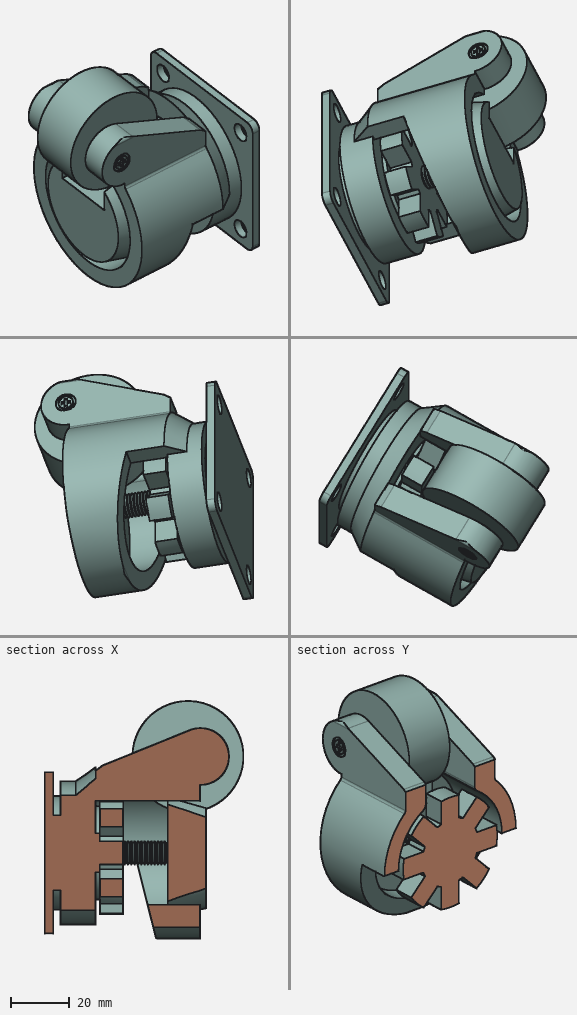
import cadquery as cq
import math


plate_side = 55.2
plate_thickness = 3.0
plate_corner_radius = 3.0
bolt_hole_dia = 6.5
bolt_hole_offset = 21.0

neck_dia = 39.0
neck_end = 5.45
swivel_dia = 49.0
swivel_end = 17.5
skirt_start = 10.65
boss_dia = 32.0
boss_end = 18.9

nut_end = 26.8
nut_dia = 42.0
nut_root_dia = 25.2
nut_teeth = 8
nut_tooth_width = 8.05

thread_major_dia = 8.05
thread_minor_dia = 6.5
thread_pitch = 1.1

housing_dia = 58.7
housing_bore_dia = 45.8
housing_front = 53.15
heel_top_depth = 30.7
heel_bottom_depth = 38.1
heel_radius = 0.65
fork_width = 39.9
fork_gap = 21.7
fork_tip_radius = 9.75
fork_tip_depth = 53.3
fork_knee_depth = 19.9
fork_knee_height = 29.9
fork_back_height = 28.1
fork_top_radius = 1.0
fork_root_radius = 1.5
gap_corner_radius = 2.3

wheel_dia = 38.0
wheel_width = 18.0
wheel_depth = 49.0
wheel_height = 32.9
pin_depth = 54.4
pin_dia = 5.0
pin_recess_dia = 7.0
pin_recess_depth = 0.5
cross_length = 3.2
cross_width = 1.0
cross_depth = 0.5

pad_start = 42.1
pad_end = 55.2
pad_back_dia = 44.2
pad_front_dia = 38.0
pad_slot_width = 22.75
pad_slot_floor = 7.3


def at_depth(depth):
    """Workplane across the swivel axis; extruding from it goes toward -Y."""
    return cq.Workplane("XZ", origin=(0, -depth, 0))


def disc(start, end, dia):
    return at_depth(start).circle(dia / 2).extrude(end - start)


def cone(start, end, start_dia, end_dia):
    return (
        at_depth(start)
        .circle(start_dia / 2)
        .workplane(offset=end - start)
        .circle(end_dia / 2)
        .loft(ruled=True)
    )


def cross_pin(depth, dia, width):
    """Cylinder along X, centred on X = 0 at the wheel height."""
    return (
        cq.Workplane("YZ", origin=(-width / 2, 0, 0))
        .center(-depth, wheel_height)
        .circle(dia / 2)
        .extrude(width)
    )


def mounting_plate():
    bolt_spacing = 2 * bolt_hole_offset
    return (
        at_depth(0)
        .rect(plate_side, plate_side)
        .extrude(plate_thickness)
        .edges("|Y")
        .fillet(plate_corner_radius)
        .faces("<Y")
        .workplane(origin=(0, 0, 0))
        .rect(bolt_spacing, bolt_spacing, forConstruction=True)
        .vertices()
        .hole(bolt_hole_dia)
    )


def swivel_skirt():
    """Conical skirt that covers only the upper half of the swivel disc."""
    length = swivel_end - skirt_start
    upper_half = (
        at_depth(skirt_start)
        .center(0, housing_dia / 2)
        .rect(housing_dia, housing_dia)
        .extrude(length)
    )
    return cone(skirt_start, swivel_end, swivel_dia, housing_dia).intersect(upper_half)


def star_nut():
    length = nut_end - boss_end
    star = disc(boss_end, nut_end, nut_root_dia)
    for index in range(nut_teeth // 2):
        bar = at_depth(boss_end).rect(nut_tooth_width, nut_dia).extrude(length)
        angle = index * 360 / nut_teeth
        star = star.union(bar.rotate((0, 0, 0), (0, 1, 0), angle))
    return star.intersect(disc(boss_end, nut_end, nut_dia))


def threaded_spindle():
    """Spindle from nut to pad, with the thread shown as V-shaped rings."""
    outline = cq.Workplane("XY").moveTo(0, -nut_end).lineTo(thread_minor_dia / 2, -nut_end)
    turns = int((pad_start - nut_end) / thread_pitch)
    for turn in range(turns):
        crest = nut_end + (turn + 0.5) * thread_pitch
        outline = outline.lineTo(thread_major_dia / 2, -crest)
        outline = outline.lineTo(thread_minor_dia / 2, -crest - thread_pitch / 2)
    outline = outline.lineTo(thread_minor_dia / 2, -pad_start).lineTo(0, -pad_start).close()
    return outline.revolve(360, (0, 0, 0), (0, 1, 0))


def edge_pair(side, height):
    """Selects the two edges along Y at X = +-side and the given height."""
    reach = 0.1
    boxes = [
        cq.selectors.BoxSelector(
            (sign * side - reach, -pad_end - fork_tip_radius, height - reach),
            (sign * side + reach, 0, height + reach),
        )
        for sign in (-1, 1)
    ]
    return (boxes[0] + boxes[1]) & cq.selectors.ParallelDirSelector(cq.Vector(0, 1, 0))


def housing_section(length):
    """Cross section of ring and fork, carried straight along the swivel axis."""
    fork_top = wheel_height + fork_tip_radius
    outer = at_depth(swivel_end).rect(fork_width, 2 * fork_top).extrude(length)
    outer = outer.edges("|Y and >Z").fillet(fork_top_radius)
    lower_half = (
        at_depth(swivel_end).center(0, -fork_top).rect(fork_width, 2 * fork_top).extrude(length)
    )
    outer = outer.cut(lower_half).union(disc(swivel_end, swivel_end + length, housing_dia))

    fork_side = fork_width / 2
    root_height = math.sqrt((housing_dia / 2) ** 2 - fork_side**2)
    outer = outer.edges(edge_pair(fork_side, root_height)).fillet(fork_root_radius)

    gap = at_depth(swivel_end).center(0, fork_top / 2).rect(fork_gap, fork_top).extrude(length)
    body = outer.cut(gap).cut(disc(swivel_end, swivel_end + length, housing_bore_dia))

    gap_side = fork_gap / 2
    corner_height = math.sqrt((housing_bore_dia / 2) ** 2 - gap_side**2)
    return body.edges(edge_pair(gap_side, corner_height)).fillet(gap_corner_radius)


def housing_side():
    """Side outline: sloping fork with a round tip above, slanted heel below."""
    run = fork_tip_depth - fork_knee_depth
    rise = wheel_height - fork_knee_height
    slope = math.atan2(rise, run) + math.asin(fork_tip_radius / math.hypot(run, rise))
    tangent = (
        -fork_tip_depth + fork_tip_radius * math.sin(slope),
        wheel_height + fork_tip_radius * math.cos(slope),
    )
    tip_front = (-fork_tip_depth - fork_tip_radius, wheel_height)
    tip_bottom = (-fork_tip_depth, wheel_height - fork_tip_radius)
    bottom = -housing_dia / 2
    return (
        cq.Workplane("YZ", origin=(-housing_dia, 0, 0))
        .moveTo(-swivel_end, 0)
        .lineTo(-swivel_end, fork_back_height)
        .lineTo(-fork_knee_depth, fork_knee_height)
        .lineTo(*tangent)
        .threePointArc(tip_front, tip_bottom)
        .lineTo(-housing_front, wheel_height - fork_tip_radius)
        .lineTo(-housing_front, bottom)
        .lineTo(-heel_bottom_depth, bottom)
        .lineTo(-heel_top_depth, 0)
        .close()
        .extrude(2 * housing_dia)
        .edges(cq.selectors.NearestToPointSelector((0, -heel_bottom_depth, bottom)))
        .fillet(heel_radius)
    )


def housing():
    length = fork_tip_depth + fork_tip_radius - swivel_end
    return housing_section(length).intersect(housing_side())


def foot_pad():
    """Tapered pad with a slot that clears the wheel."""
    slot = (
        at_depth(pad_start)
        .center(0, pad_slot_floor + pad_back_dia / 2)
        .rect(pad_slot_width, pad_back_dia)
        .extrude(pad_end - pad_start)
    )
    return cone(pad_start, pad_end, pad_back_dia, pad_front_dia).cut(slot)


def pin_recesses():
    """Ring around each pin end and the cross drive sunk into the pin."""
    ring_width = fork_width - 2 * pin_recess_depth
    rings = cross_pin(pin_depth, pin_recess_dia, fork_width)
    rings = rings.cut(cross_pin(pin_depth, pin_recess_dia, ring_width))
    rings = rings.cut(cross_pin(pin_depth, pin_dia, fork_width))
    for sign in (-1, 1):
        centre = (sign * (fork_width - cross_depth) / 2, -pin_depth, wheel_height)
        for size in ((cross_length, cross_width), (cross_width, cross_length)):
            rings = rings.union(cq.Workplane("XY").box(cross_depth, *size).translate(centre))
    return rings


swivel = (
    mounting_plate()
    .union(disc(plate_thickness, neck_end, neck_dia))
    .union(disc(neck_end, swivel_end, swivel_dia))
    .union(swivel_skirt())
    .union(disc(swivel_end, boss_end, boss_dia))
)
foot = star_nut().union(threaded_spindle()).union(foot_pad())
wheel = cross_pin(wheel_depth, wheel_dia, wheel_width)
pin = cross_pin(pin_depth, pin_dia, fork_width)

result = swivel.union(housing()).union(foot).union(wheel).union(pin).cut(pin_recesses())